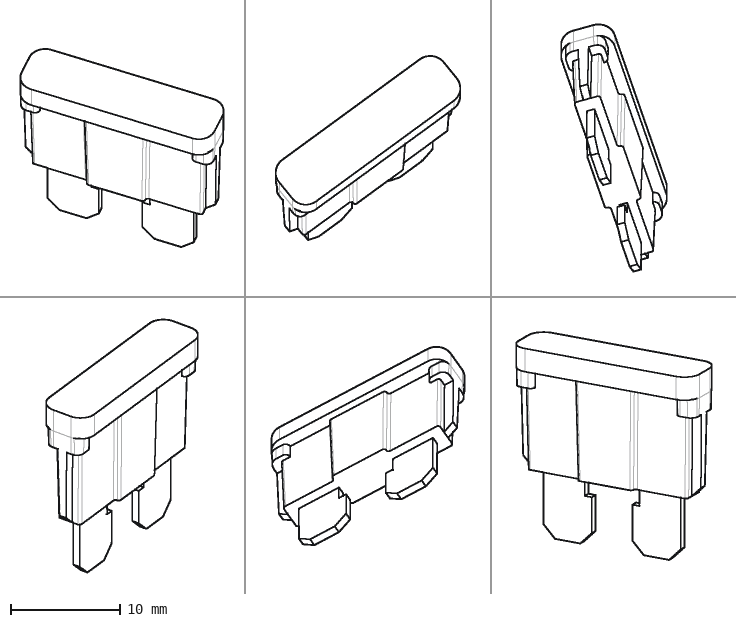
import cadquery as cq
import math


length = 19.05
cap_depth = 5.09
cap_height = 2.25
cap_corner_radius = 1.56

draft_angle = 1.0
housing_bottom_z = -12.21
housing_height = -cap_height - housing_bottom_z
end_half_length = length / 2
end_rib_half_depth = 0.53
shoulder_half_length = 8.57
side_panel_half_depth = 1.41
middle_panel_half_depth = 1.9
middle_step_x = 3.05
edge_radius = (middle_panel_half_depth - side_panel_half_depth) / 2
end_chamfer = 0.95

lug_height = 1.83
lug_inner_x = 7.5
lug_inner_radius = 0.5
lug_outer_radius = 0.75

blade_bottom_z = -18.8
blade_thickness = 0.75
blade_outer_x = 7.22
blade_neck_x = 2.9
blade_inner_x = 2.13
blade_notch_z = -14.1
blade_chamfer = 1.22


def mirrored_pair(solid):
    """Join a solid on the +X side with its mirror image on the -X side."""
    return solid.union(solid.mirror("YZ"))


def cap_block():
    """Rounded cap outline, extruded downward from Z = 0."""
    block = cq.Workplane("XY").rect(length, cap_depth).extrude(-cap_height)
    return block.edges("|Z").fillet(cap_corner_radius)


def mirrored_quarters(solid):
    """Complete a part of which only the +X, +Y quarter is given."""
    return mirrored_pair(solid.union(solid.mirror("XZ")))


def quarter_outline(workplane, inset):
    """Draw the +X, +Y quarter of the housing section, its side faces moved in by inset."""
    end_x = end_half_length - inset
    rib_y = end_rib_half_depth - inset
    shoulder_x = shoulder_half_length - inset
    side_y = side_panel_half_depth - inset
    step_x = middle_step_x - inset
    step_y = side_y + edge_radius
    middle_y = middle_panel_half_depth - inset
    r = edge_radius
    diagonal = r * math.sqrt(0.5)
    return (
        workplane
        .lineTo(end_x, 0)
        .lineTo(end_x, rib_y)
        .lineTo(shoulder_x, rib_y)
        .lineTo(shoulder_x, side_y - r)
        .threePointArc(
            (shoulder_x - r + diagonal, side_y - r + diagonal),
            (shoulder_x - r, side_y),
        )
        .lineTo(step_x + r, side_y)
        .threePointArc((step_x + r - diagonal, step_y - diagonal), (step_x, step_y))
        .threePointArc((step_x - r + diagonal, step_y + diagonal), (step_x - r, middle_y))
        .lineTo(0, middle_y)
        .close()
    )


def housing():
    """Drafted housing with raised middle panels, end ribs and chamfered lower ends."""
    inset = housing_height * math.tan(math.radians(draft_angle))
    sections = quarter_outline(cq.Workplane("XY", origin=(0, 0, -cap_height)), 0)
    sections = sections.workplane(offset=-housing_height, origin=(0, 0, -cap_height))
    quarter = quarter_outline(sections, inset).loft(ruled=True)
    body = mirrored_quarters(quarter)
    bottom_end_x = end_half_length - inset
    corner_cut = (
        cq.Workplane("XZ")
        .moveTo(bottom_end_x - end_chamfer, housing_bottom_z)
        .line(2 * end_chamfer, 2 * end_chamfer)
        .line(0, -2 * end_chamfer)
        .close()
        .extrude(cap_depth / 2, both=True)
    )
    return body.cut(mirrored_pair(corner_cut))


def lug():
    """Drafted lug at the +X end; its end follows the rounded end of the cap."""
    lug_length = end_half_length - lug_inner_x
    blank = (
        cq.Workplane("XY")
        .center(lug_inner_x + lug_length / 2, 0)
        .rect(lug_length, 2 * middle_panel_half_depth)
        .extrude(-cap_height)
        .edges("|Z and <X")
        .fillet(lug_inner_radius)
        .intersect(cap_block())
        .faces("<Y or >Y")
        .edges("|Z")
        .edges(">X")
        .fillet(lug_outer_radius)
    )
    underside = blank.faces("<Z").wires().toPending().workplane()
    return underside.extrude(lug_height, taper=draft_angle, combine=False)


def blade():
    """Contact blade at the +X side, notched below the housing, with a chamfered tip."""
    chamfer_z = blade_bottom_z + blade_chamfer
    return (
        cq.Workplane("XZ")
        .moveTo(blade_outer_x, housing_bottom_z)
        .lineTo(blade_outer_x, chamfer_z)
        .lineTo(blade_outer_x - blade_chamfer, blade_bottom_z)
        .lineTo(blade_inner_x + blade_chamfer, blade_bottom_z)
        .lineTo(blade_inner_x, chamfer_z)
        .lineTo(blade_inner_x, blade_notch_z)
        .lineTo(blade_neck_x, blade_notch_z)
        .lineTo(blade_neck_x, housing_bottom_z)
        .close()
        .extrude(blade_thickness / 2, both=True)
    )


result = (
    cap_block()
    .union(housing())
    .union(mirrored_pair(lug()))
    .union(mirrored_pair(blade()))
)